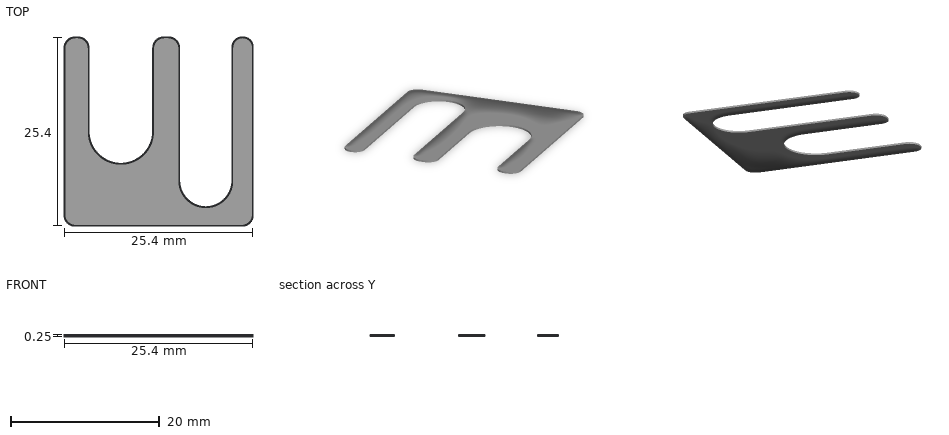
import cadquery as cq

side = 25.4
thickness = 0.25
corner_radius = 1.5

left_finger = 3.3
middle_finger = 3.55
right_finger = 2.8
right_tip_radius = 1.37

left_slot_width = 8.64
left_slot_floor = 8.38
right_slot_floor = 2.55
right_slot_width = side - left_finger - left_slot_width - middle_finger - right_finger

middle_finger_start = left_finger + left_slot_width
right_finger_start = side - right_finger


def open_slot(start_x, width, floor_y):
    """Cutter for a slot with a semicircular end, running out through the +Y side."""
    radius = width / 2
    end_x = start_x + width
    center_y = floor_y + radius
    return (
        cq.Workplane("XY")
        .moveTo(start_x, side)
        .lineTo(start_x, center_y)
        .threePointArc((start_x + radius, floor_y), (end_x, center_y))
        .lineTo(end_x, side)
        .close()
        .extrude(thickness)
    )


plate = cq.Workplane("XY").box(side, side, thickness, centered=False)
plate = plate.cut(open_slot(left_finger, left_slot_width, left_slot_floor))
plate = plate.cut(open_slot(right_finger_start - right_slot_width, right_slot_width, right_slot_floor))


def round_upright_edges(body, min_x, max_x, y, radius):
    """Round the upright edges at height y whose X lies between min_x and max_x."""
    margin = 0.25
    selector = cq.selectors.BoxSelector(
        (min_x - margin, y - margin, -margin),
        (max_x + margin, y + margin, thickness + margin),
    )
    return body.edges("|Z").edges(selector).fillet(radius)


plate = round_upright_edges(plate, 0, side, 0, corner_radius)
plate = round_upright_edges(plate, 0, left_finger, side, corner_radius)
middle_finger_end = middle_finger_start + middle_finger
plate = round_upright_edges(plate, middle_finger_start, middle_finger_end, side, corner_radius)
plate = round_upright_edges(plate, right_finger_start, side, side, right_tip_radius)

result = plate